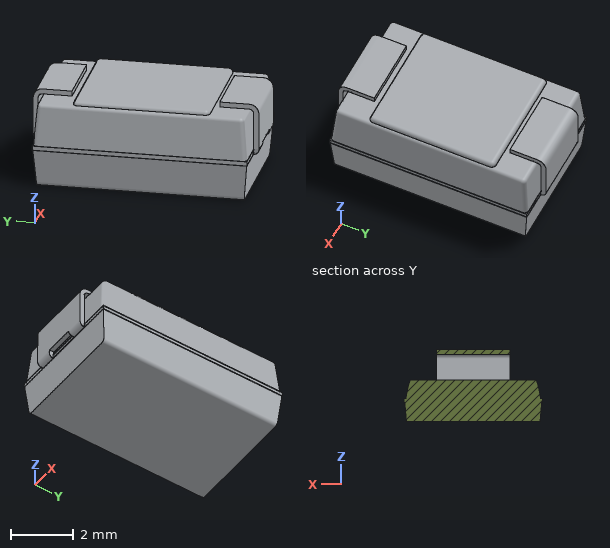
import cadquery as cq
import math

LENGTH = 7.4
HEIGHT = 3.0

FLANGE_WIDTH = 4.45
FLANGE_LENGTH = 7.03
FLANGE_BOTTOM = 1.265
FLANGE_TOP = 1.41
FLANGE_OVERHANG_X = 0.0185
FLANGE_OVERHANG_Y = 0.01
DRAFT_ANGLE = 5.0
EDGE_RADIUS = 0.15

PANEL_WIDTH = 3.98
PANEL_LENGTH = 4.48
PANEL_TOP = 2.975
PANEL_EMBED = 0.02

LEAD_WIDTH = 2.375
LEAD_THICKNESS = 0.17
LEAD_FOOT_LENGTH = 1.28
BEND_INNER_RADIUS = 0.15
LOWER_BEND_RADIUS = 0.19
NOTCH_TOP_WIDTH = 1.05
NOTCH_BOTTOM_WIDTH = 1.185
NOTCH_HEIGHT = 0.22
PRONG_TAPER = 0.02

BODY_TOP = HEIGHT - LEAD_THICKNESS
HALF_WIDTH = FLANGE_WIDTH / 2 - FLANGE_OVERHANG_X
HALF_LENGTH = FLANGE_LENGTH / 2 - FLANGE_OVERHANG_Y


def drafted_block(start_z, height):
    """Block that narrows away from the flange; a negative height goes down."""
    return (
        cq.Workplane("XY")
        .workplane(offset=start_z)
        .rect(2 * HALF_WIDTH, 2 * HALF_LENGTH)
        .extrude(height, taper=DRAFT_ANGLE)
    )


def make_body():
    upper = drafted_block(FLANGE_TOP, BODY_TOP - FLANGE_TOP)
    upper = upper.edges("not <Z").fillet(EDGE_RADIUS)
    lower = drafted_block(FLANGE_BOTTOM, -FLANGE_BOTTOM)
    lower = lower.faces("<Z").edges("|Y").fillet(EDGE_RADIUS)
    flange = (
        cq.Workplane("XY")
        .workplane(offset=FLANGE_BOTTOM)
        .rect(FLANGE_WIDTH, FLANGE_LENGTH)
        .extrude(FLANGE_TOP - FLANGE_BOTTOM)
    )
    return flange.union(upper).union(lower)


def make_panel():
    panel_bottom = BODY_TOP - PANEL_EMBED
    return (
        cq.Workplane("XY")
        .workplane(offset=panel_bottom)
        .rect(PANEL_WIDTH, PANEL_LENGTH)
        .extrude(PANEL_TOP - panel_bottom)
        .edges("not <Z")
        .fillet(EDGE_RADIUS)
    )


def make_lead():
    """Lead at the +Y end: foot over the body, wall, and a bend into the flange."""
    outer_y = LENGTH / 2
    inner_y = outer_y - LEAD_THICKNESS
    foot_y = outer_y - LEAD_FOOT_LENGTH
    bend_outer_radius = BEND_INNER_RADIUS + LEAD_THICKNESS
    bend_y = outer_y - bend_outer_radius
    bend_z = HEIGHT - bend_outer_radius
    lower_bend_y = outer_y - LOWER_BEND_RADIUS
    lower_bend_z = FLANGE_BOTTOM + LOWER_BEND_RADIUS
    diagonal = math.sqrt(0.5)

    def on_bend(radius):
        return (bend_y + radius * diagonal, bend_z + radius * diagonal)

    lower_mid = (
        lower_bend_y + LOWER_BEND_RADIUS * diagonal,
        lower_bend_z - LOWER_BEND_RADIUS * diagonal,
    )
    return (
        cq.Workplane("YZ")
        .moveTo(foot_y, BODY_TOP)
        .lineTo(foot_y, HEIGHT)
        .lineTo(bend_y, HEIGHT)
        .threePointArc(on_bend(bend_outer_radius), (outer_y, bend_z))
        .lineTo(outer_y, lower_bend_z)
        .threePointArc(lower_mid, (lower_bend_y, FLANGE_BOTTOM))
        .lineTo(lower_bend_y, FLANGE_TOP)
        .lineTo(inner_y, FLANGE_TOP)
        .lineTo(inner_y, bend_z)
        .threePointArc(on_bend(BEND_INNER_RADIUS), (bend_y, BODY_TOP))
        .close()
        .extrude(LEAD_WIDTH / 2, both=True)
    )


def make_prong_trims():
    """Cutters that leave two prongs, tapered outside, on the lower edge of the -Y lead."""
    notch_top = FLANGE_BOTTOM + NOTCH_HEIGHT
    half_lead = LEAD_WIDTH / 2
    trims = (
        cq.Workplane("XZ", origin=(0, -LENGTH / 2 + LEAD_THICKNESS, 0))
        .polyline([
            (-NOTCH_BOTTOM_WIDTH / 2, FLANGE_BOTTOM),
            (-NOTCH_TOP_WIDTH / 2, notch_top),
            (NOTCH_TOP_WIDTH / 2, notch_top),
            (NOTCH_BOTTOM_WIDTH / 2, FLANGE_BOTTOM),
        ])
        .close()
    )
    for side in (-1, 1):
        trims = trims.polyline([
            (side * half_lead, FLANGE_BOTTOM + LOWER_BEND_RADIUS),
            (side * half_lead, FLANGE_BOTTOM),
            (side * (half_lead - PRONG_TAPER), FLANGE_BOTTOM),
        ]).close()
    return trims.extrude(LEAD_THICKNESS)


back_lead = make_lead()
front_lead = back_lead.mirror("XZ").cut(make_prong_trims())
result = (
    make_body()
    .union(make_panel())
    .union(back_lead)
    .union(front_lead)
)